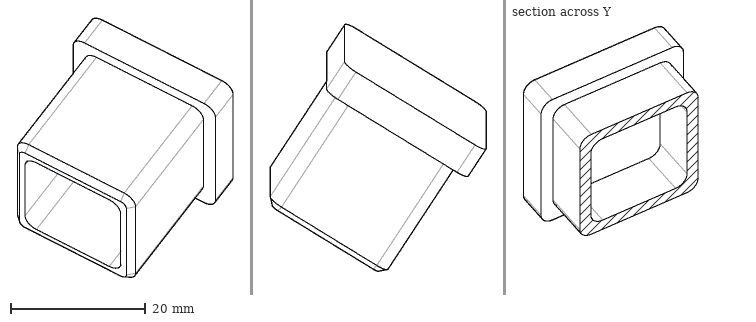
import cadquery as cq

head_side = 25.0
head_thickness = 5.0
total_length = 25.0
corner_radius = 2.0

plug_side = 20.8
plug_length = total_length - head_thickness
plug_wall = 2.0
tip_chamfer = 1.0

cavity_side = plug_side - 2 * plug_wall


def rounded_square_bar(side, length):
    """Bar with rounded long edges, centred on the Y axis, running from Y = 0 to Y = -length."""
    bar = cq.Workplane("XZ").rect(side, side).extrude(length)
    return bar.edges("|Y").fillet(corner_radius)


def make_head():
    return rounded_square_bar(head_side, head_thickness).translate((0, head_thickness, 0))


def make_plug():
    """Plug with its outer rim chamfered at the free end."""
    return rounded_square_bar(plug_side, plug_length).faces("<Y").chamfer(tip_chamfer)


def make_cavity():
    """Pocket that opens at the plug tip and ends at the head."""
    return rounded_square_bar(cavity_side, plug_length)


result = make_head().union(make_plug()).cut(make_cavity())